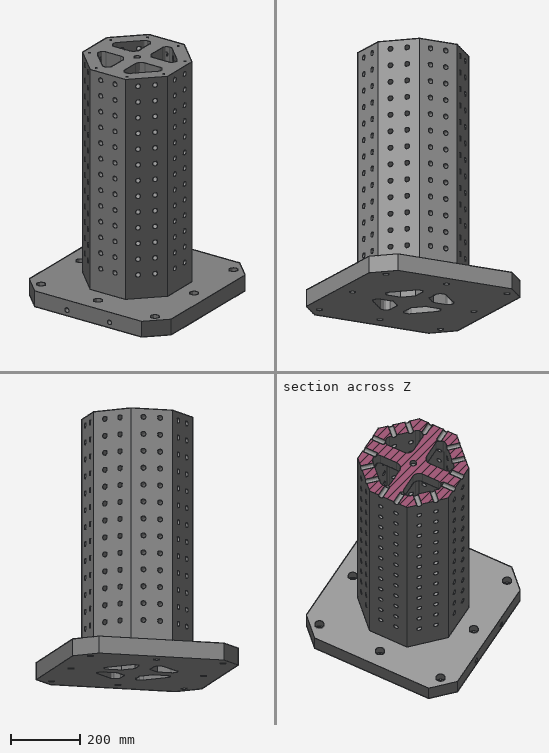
import cadquery as cq
import math

total_height = 750.0
base_side = 500.0
base_thickness = 50.0
base_corner_chamfer = 61.5
mount_hole_spacing = 200.0
mount_hole_diameter = 17.0
mount_counterbore_diameter = 26.0
mount_counterbore_depth = 25.0
edge_hole_diameter = 14.0
edge_hole_offset = 75.0
edge_hole_height = 18.0
edge_hole_depth = 30.0

face_count = 8
face_angle = 360.0 / face_count
tower_width = 300.0
wall_thickness = 40.0
cavity_width = tower_width - 2 * wall_thickness
cavity_edge_radius = 15.0
top_plate_thickness = 60.0
cavity_top = total_height - top_plate_thickness

web_thickness = 45.0
opening_inner_radius = 20.0
opening_outer_radius = 15.0
channel_width = 82.5
base_core_side = 108.0

face_hole_diameter = 14.0
face_hole_spacing = 50.0
row_count = 13
top_row_height = 725.0
bottom_row_height = 125.0
row_pitch = (top_row_height - bottom_row_height) / (row_count - 1)
wall_hole_depth = 67.5
blind_hole_depth = 40.5

pin_hole_diameter = 5.0
pin_hole_depth = 15.0
pin_circle_radius = 142.0
centre_hole_diameter = 18.0
centre_hole_depth = 37.5

drill_point_angle = 118.0


def turned(shape, angle):
    """The shape turned about the tower axis."""
    return shape.rotate((0, 0, 0), (0, 0, 1), angle)


def octagonal_prism(width, bottom, top):
    """Upright octagonal prism, two of its flats facing along X."""
    return (
        cq.Workplane("XY", origin=(0, 0, bottom))
        .polygon(face_count, width, circumscribed=True)
        .extrude(top - bottom)
    )


def drilled_hole(diameter, depth, start, direction):
    """Blind hole with a conical drill point beyond its full-diameter depth."""
    radius = diameter / 2
    point_length = radius / math.tan(math.radians(drill_point_angle / 2))
    start = cq.Vector(*start)
    direction = cq.Vector(*direction)
    shaft = cq.Solid.makeCylinder(radius, depth, start, direction)
    point = cq.Solid.makeCone(radius, 0, point_length, start + direction * depth, direction)
    return cq.Workplane(shaft).union(cq.Workplane(point))


def make_base():
    base = (
        cq.Workplane("XY")
        .rect(base_side, base_side)
        .extrude(base_thickness)
        .edges("|Z")
        .chamfer(base_corner_chamfer)
    )
    grid = (-mount_hole_spacing, 0, mount_hole_spacing)
    mount_points = [(x, y) for x in grid for y in grid if (x, y) != (0, 0)]
    base = (
        base.faces(">Z")
        .workplane()
        .pushPoints(mount_points)
        .cboreHole(mount_hole_diameter, mount_counterbore_diameter, mount_counterbore_depth)
    )
    for x in (-edge_hole_offset, edge_hole_offset):
        start = (x, -base_side / 2, edge_hole_height)
        base = base.cut(drilled_hole(edge_hole_diameter, edge_hole_depth, start, (0, 1, 0)))
    return base


def make_cavity_channels():
    """Two crossing channels that join the openings beneath the top plate into one cavity."""
    channel = (
        cq.Workplane("XY", origin=(0, 0, base_thickness))
        .rect(cavity_width, channel_width)
        .extrude(cavity_top - base_thickness)
        .edges(">Z and |Y")
        .fillet(cavity_edge_radius)
    )
    return channel.union(turned(channel, 90))


def make_opening():
    """Prism of full height over the +X +Y quarter of the cavity, clear of the webs."""
    quarter_side = cavity_width / 2
    quarter_centre = (web_thickness + quarter_side) / 2
    quarter = (
        cq.Workplane("XY")
        .center(quarter_centre, quarter_centre)
        .rect(quarter_side, quarter_side)
        .extrude(total_height)
    )
    opening = octagonal_prism(cavity_width, 0, total_height).intersect(quarter)
    inner_corner = (web_thickness / 2, web_thickness / 2, total_height / 2)
    return (
        opening.edges("|Z")
        .edges(cq.NearestToPointSelector(inner_corner))
        .fillet(opening_inner_radius)
        .edges("|Z and (>X or >Y)")
        .fillet(opening_outer_radius)
    )


def make_openings():
    base_core = (
        cq.Workplane("XY")
        .rect(base_core_side, base_core_side)
        .extrude(base_thickness)
    )
    opening = make_opening().cut(turned(base_core, 45))
    openings = opening
    for quarter in (1, 2, 3):
        openings = openings.union(turned(opening, 90 * quarter))
    return openings


def make_wall_holes(first_row):
    """Holes through the wall of the -Y face, from the given row (0 is the top) down."""
    columns = (-face_hole_spacing / 2, face_hole_spacing / 2)
    points = [
        (column, top_row_height - row * row_pitch)
        for row in range(first_row, row_count)
        for column in columns
    ]
    return (
        cq.Workplane("XZ", origin=(0, -tower_width / 2, 0))
        .pushPoints(points)
        .circle(face_hole_diameter / 2)
        .extrude(-wall_hole_depth)
    )


def make_top_row_blind_holes():
    """Blind holes in the -Y face where the web of the top plate lies behind the wall."""
    left, right = (
        drilled_hole(
            face_hole_diameter,
            blind_hole_depth,
            (side * face_hole_spacing / 2, -tower_width / 2, top_row_height),
            (0, 1, 0),
        )
        for side in (-1, 1)
    )
    return left.union(right)


def cut_face_holes(body):
    straight_holes = make_wall_holes(1)
    slanted_holes = make_wall_holes(0)
    blind_holes = make_top_row_blind_holes()
    for quarter in range(4):
        angle = 90 * quarter
        body = body.cut(turned(straight_holes, angle))
        body = body.cut(turned(blind_holes, angle))
        body = body.cut(turned(slanted_holes, angle + face_angle))
    return body


def make_top_holes():
    centre = drilled_hole(
        centre_hole_diameter, centre_hole_depth, (0, 0, total_height), (0, 0, -1)
    )
    pins = (
        cq.Workplane("XY", origin=(0, 0, total_height - pin_hole_depth))
        .polarArray(pin_circle_radius, face_angle / 2, 360, face_count)
        .circle(pin_hole_diameter / 2)
        .extrude(pin_hole_depth)
    )
    return centre.union(pins)


undrilled_part = (
    make_base()
    .union(octagonal_prism(tower_width, 0, total_height))
    .cut(make_cavity_channels())
    .cut(make_openings())
    .cut(make_top_holes())
)
result = cut_face_holes(undrilled_part)